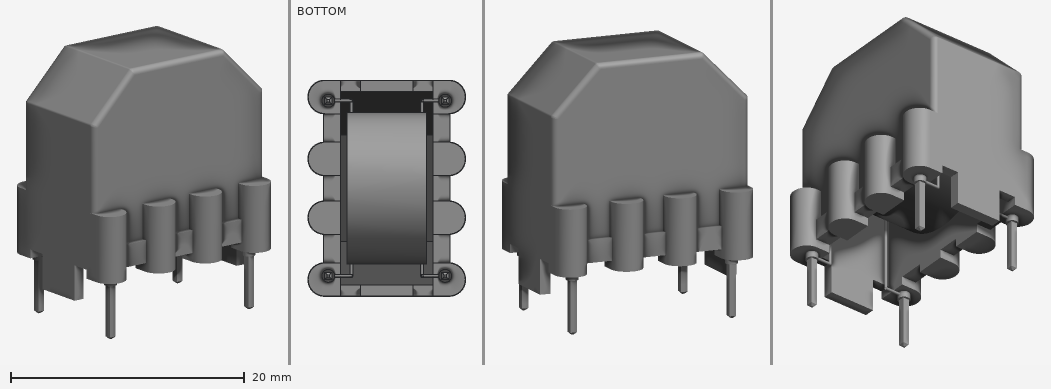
import cadquery as cq
import math

overall_height = 23.5
length = 18.5
overall_width = 13.5
housing_width = 9.82
housing_bottom = 0.8
housing_top = 18.1
roof_chamfer = 4.28
side_fillet = 0.5
roof_fillet = 0.25
wall = 0.96

pillar_radius = 1.43
pillar_height = 5.97
inner_pillar_y = 2.51
outer_pillar_y = length / 2 - pillar_radius
pillar_axis_x = overall_width / 2 - pillar_radius
bar_width = 10.83
bar_top = 2.82

foot_width = 4.51
foot_bottom = -2.35

pin_x = 5.0
pin_y = 7.5
pin_size = 0.6
pin_bottom = housing_top - overall_height
tip_chamfer = 0.2
collar_diameter = 1.1
collar_height = 0.59
wire_diameter = 0.25
wire_x = 3.03
wire_z = -0.19

coil_outer_diameter = 13.0
coil_inner_diameter = 7.6
coil_width = 6.82

cavity_width = housing_width - 2 * wall
cavity_top = housing_top - wall
coil_z = (housing_bottom + cavity_top) / 2


def roofed_block(width, block_length, top, chamfer):
    """Block along X whose two upper edges are cut at 45 degrees."""
    half = block_length / 2
    return (
        cq.Workplane("YZ")
        .moveTo(-half, housing_bottom)
        .lineTo(half, housing_bottom)
        .lineTo(half, top - chamfer)
        .lineTo(half - chamfer, top)
        .lineTo(-half + chamfer, top)
        .lineTo(-half, top - chamfer)
        .close()
        .extrude(width / 2, both=True)
    )


def make_shell():
    """Outer block with rounded roof edges and rounded long-side outlines."""
    shell = roofed_block(housing_width, length, housing_top, roof_chamfer)
    above_bottom = cq.selectors.BoxSelector(
        (-overall_width, -length, housing_bottom + wall),
        (overall_width, length, housing_top + wall),
    )
    shell = shell.edges("|X").edges(above_bottom).fillet(roof_fillet)
    return shell.faces("<X or >X").edges(above_bottom).fillet(side_fillet)


def make_cavity():
    """Inside space, open at the bottom, one wall thickness inside the block."""
    cavity_chamfer = roof_chamfer - wall * (2 - math.sqrt(2))
    return roofed_block(cavity_width, length - 2 * wall, cavity_top, cavity_chamfer)


def make_pillar(side, y):
    """Upright pillar, rounded outward, reaching inward to the cavity."""
    inner_x = side * cavity_width / 2
    axis_x = side * pillar_axis_x
    return (
        cq.Workplane("XY")
        .moveTo(inner_x, y - pillar_radius)
        .lineTo(axis_x, y - pillar_radius)
        .threePointArc((side * overall_width / 2, y), (axis_x, y + pillar_radius))
        .lineTo(inner_x, y + pillar_radius)
        .close()
        .extrude(pillar_height)
    )


def make_foot(end):
    """Flat foot that continues an end wall downward."""
    return (
        cq.Workplane("XY", origin=(0, end * (length - wall) / 2, foot_bottom))
        .rect(foot_width, wall)
        .extrude(housing_bottom - foot_bottom)
    )


def make_housing():
    bars = (
        cq.Workplane("XY", origin=(0, 0, housing_bottom))
        .rect(bar_width, 2 * outer_pillar_y)
        .extrude(bar_top - housing_bottom)
    )
    housing = make_shell().union(bars).cut(make_cavity())
    for side in (-1, 1):
        for y in (-outer_pillar_y, -inner_pillar_y, inner_pillar_y, outer_pillar_y):
            housing = housing.union(make_pillar(side, y))
    for end in (-1, 1):
        housing = housing.union(make_foot(end))
    return housing


def make_pin(side, end):
    """Square pin with a tapered tip below a round collar."""
    collar = (
        cq.Workplane("XY", origin=(side * pin_x, end * pin_y, -collar_height))
        .circle(collar_diameter / 2)
        .extrude(collar_height)
    )
    pin = (
        cq.Workplane("XY", origin=(side * pin_x, end * pin_y, pin_bottom))
        .rect(pin_size, pin_size)
        .extrude(-collar_height - pin_bottom)
        .faces("<Z")
        .chamfer(tip_chamfer)
    )
    return collar.union(pin)


def make_wire(side, end):
    """Round wire from a collar, inward under the pillar, up and into the coil."""
    inside_coil_y = (coil_outer_diameter + coil_inner_diameter) / 4
    start = (side * pin_x, end * pin_y, wire_z)
    path = cq.Workplane("XY").polyline([
        start,
        (side * wire_x, end * pin_y, wire_z),
        (side * wire_x, end * pin_y, coil_z),
        (side * wire_x, end * inside_coil_y, coil_z),
    ])
    section = cq.Workplane("YZ", origin=start).circle(wire_diameter / 2)
    return section.sweep(path, transition="round")


def make_coil():
    """Ring coil joined by its wires to the four pins."""
    coil = (
        cq.Workplane("YZ", origin=(0, 0, coil_z))
        .circle(coil_outer_diameter / 2)
        .circle(coil_inner_diameter / 2)
        .extrude(coil_width / 2, both=True)
    )
    for side in (-1, 1):
        for end in (-1, 1):
            coil = coil.union(make_wire(side, end)).union(make_pin(side, end))
    return coil


housing = make_housing()
coil = make_coil()
result = cq.Compound.makeCompound([housing.solids().val(), coil.solids().val()])